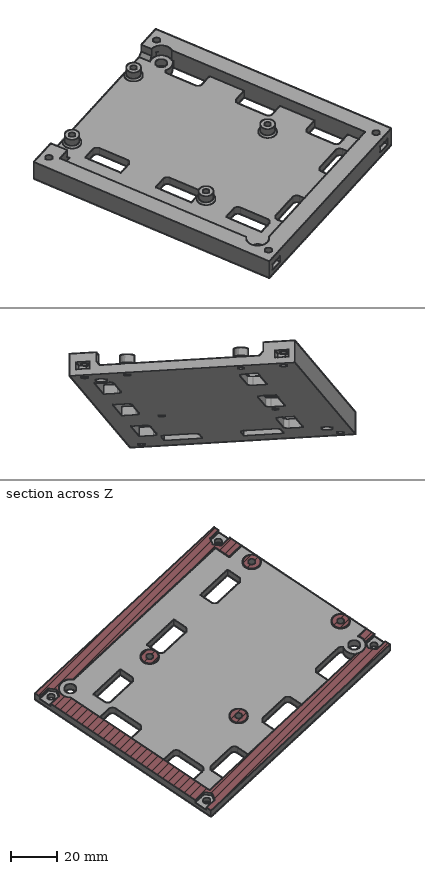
import cadquery as cq
import math

length = 120.0
width = 100.0
height = 10.0
floor_thickness = 4.1

end_wall = 8.4
side_wall = 7.9
pocket_length = length - 2 * end_wall
pocket_width = width - 2 * side_wall
gap_front = 14.0
gap_back = width - 11.9
gap_chamfer = 1.8

screw_diameter = 3.2
screw_inset_x = 4.1
screw_inset_y = 5.9
nut_flats = 6.1
nut_slot_height = 3.2
nut_slot_bottom = 2.8

mount_diameter = 5.2
head_clearance_diameter = 9.8
mount_points = [(10.2, 88.1), (107.9, 10.0)]

post_diameter = 6.5
post_top = 8.5
post_bore = 2.9
foot_flare = 0.8
post_first_x = 4.1
post_first_y = 24.8
post_spacing_x = 68.3
post_spacing_y = 50.4

window_corner = 2.0
window_length = 18.2
short_window_length = 16.9
last_front_window_length = 18.0
window_first_x = 14.0
window_pitch = 35.9
window_count = 3
front_window_bottom = 19.5
front_window_depth = 8.4
back_window_depth = 8.2
end_window_depth = 8.0
end_window_front_y = 29.9
end_window_front_length = 17.8
end_window_back_y = 66.0

cut_top = height - floor_thickness


def box(x, y, z, size_x, size_y, size_z):
    """Box placed by its lowest corner."""
    return cq.Workplane("XY").box(size_x, size_y, size_z, centered=False).translate((x, y, z))


def cylinder(x, y, z, diameter, depth):
    """Vertical cylinder standing on height z."""
    return cq.Workplane("XY", origin=(x, y, z)).circle(diameter / 2).extrude(depth)


def window(x, y, size_x, size_y, rounded_edges):
    """Cutter through the floor with the selected vertical edges rounded."""
    return box(x, y, 0, size_x, size_y, floor_thickness).edges(rounded_edges).fillet(window_corner)


def end_gap():
    """Opening in the left end with chamfered lower corners."""
    chamfer_top = floor_thickness + gap_chamfer
    outline = [
        (gap_front, height),
        (gap_front, chamfer_top),
        (gap_front + gap_chamfer, floor_thickness),
        (gap_back - gap_chamfer, floor_thickness),
        (gap_back, chamfer_top),
        (gap_back, height),
    ]
    return cq.Workplane("YZ").polyline(outline).close().extrude(end_wall)


def nut_slot(x, y, direction):
    """Slot from the end of the tray whose inner end is half a hexagon around the screw."""
    half_flats = nut_flats / 2
    flat_end = half_flats * math.tan(math.radians(30))
    point = half_flats / math.cos(math.radians(30))
    outline = [
        (x - direction * screw_inset_x, y - half_flats),
        (x + direction * flat_end, y - half_flats),
        (x + direction * point, y),
        (x + direction * flat_end, y + half_flats),
        (x - direction * screw_inset_x, y + half_flats),
    ]
    plane = cq.Workplane("XY", origin=(0, 0, nut_slot_bottom))
    return plane.polyline(outline).close().extrude(nut_slot_height)


def post(x, y):
    """Standoff post on the floor, wider at its foot."""
    radius = post_diameter / 2
    profile = [
        (0, floor_thickness),
        (radius + foot_flare, floor_thickness),
        (radius, floor_thickness + foot_flare),
        (radius, post_top),
        (0, post_top),
    ]
    solid = cq.Workplane("XZ").polyline(profile).close().revolve(360, (0, 0), (0, 1))
    return solid.translate((x, y, 0))


tray = box(0, 0, 0, length, width, height)
tray = tray.cut(box(end_wall, side_wall, floor_thickness, pocket_length, pocket_width, cut_top))
tray = tray.cut(end_gap())

back_y = width - side_wall - back_window_depth
for index in range(window_count):
    last = index == window_count - 1
    x = window_first_x + index * window_pitch
    front_length = last_front_window_length if last else window_length
    back_length = short_window_length if last else window_length
    tray = tray.cut(window(x, front_window_bottom, front_length, front_window_depth, "|Z and >Y"))
    tray = tray.cut(window(x, back_y, back_length, back_window_depth, "|Z and <Y"))

end_window_x = length - end_wall - end_window_depth
for y, size_y in [(end_window_front_y, end_window_front_length), (end_window_back_y, short_window_length)]:
    tray = tray.cut(window(end_window_x, y, end_window_depth, size_y, "|Z and <X"))

for x, y in mount_points:
    tray = tray.union(cylinder(x, y, 0, head_clearance_diameter, floor_thickness))
    tray = tray.cut(cylinder(x, y, floor_thickness, head_clearance_diameter, cut_top))
    tray = tray.cut(cylinder(x, y, 0, mount_diameter, floor_thickness))

for x, direction in [(screw_inset_x, 1), (length - screw_inset_x, -1)]:
    for y in (screw_inset_y, width - screw_inset_y):
        tray = tray.cut(cylinder(x, y, 0, screw_diameter, height))
        tray = tray.cut(nut_slot(x, y, direction))

for x in (post_first_x, post_first_x + post_spacing_x):
    for y in (post_first_y, post_first_y + post_spacing_y):
        tray = tray.union(post(x, y))
        tray = tray.cut(cylinder(x, y, 0, post_bore, post_top))

result = tray